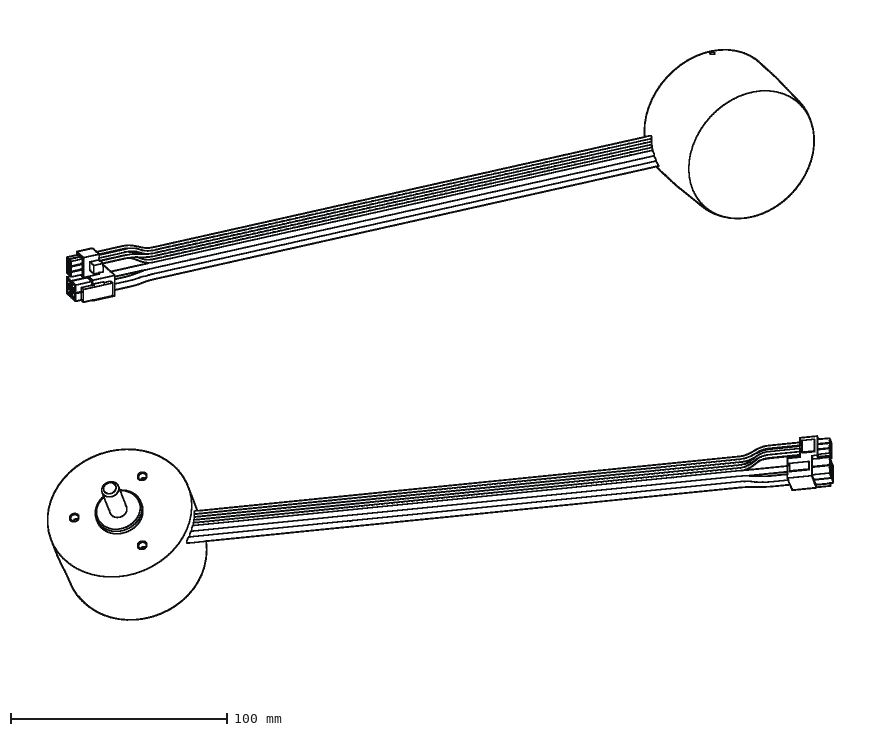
import cadquery as cq


BODY_DIAMETER = 68.0
BODY_RADIUS = BODY_DIAMETER / 2
BODY_LENGTH = 43.0
RING_ENDS = [4.5, 10.3, 16.0]
CUP_REAR_RADIUS = 33.0
REAR_CHAMFER_LENGTH = 2.5
REAR_CHAMFER_DEPTH = 0.7

BOSS_RADIUS = 11.0
BOSS_HEIGHT = 3.0
BOSS_CHAMFER = 0.7
SHAFT_RADIUS = 4.0
SHAFT_LENGTH = 23.0
SHAFT_CHAMFER = 1.0

MOUNT_HOLE_COUNT = 3
MOUNT_HOLE_CIRCLE_RADIUS = 21.5
MOUNT_HOLE_DIAMETER = 3.5
MOUNT_HOLE_CHAMFER = 0.5
MOUNT_HOLE_DEPTH = RING_ENDS[0]
SET_SCREW_DIAMETER = 2.2
SET_SCREW_DEPTH = 3.5
SET_SCREW_X = RING_ENDS[0] / 2

OVERALL_LENGTH = 368
PLUG_END_Y = BODY_RADIUS - OVERALL_LENGTH
PLUG_SPLIT_Z = -4.8

SENSOR_COLLAR_X = (3.0, 10.0)
SENSOR_COLLAR_Y = (-320.0, -328.3)
SENSOR_COLLAR_TOP_Z = 5.5
SENSOR_LATCH_X = 14.0
SENSOR_LATCH_Y = (-320.0, -325.0)
SENSOR_LATCH_WIDTH = 4.5
SENSOR_SILOS = (2, 3)
SENSOR_PAD_WIDTH = 6.3

PHASE_COLLAR_X = (3.0, 14.5)
PHASE_COLLAR_Y = (-314.3, -325.5)
PHASE_COLLAR_BOTTOM_Z = -15.5
PHASE_LEVER_X = (15.0, 17.3)
PHASE_LEVER_Y = (-317.0, -332.0)
PHASE_PIVOT_Y = (-320.0, -325.3)
PHASE_LEVER_WIDTH = 6.5
PHASE_SILOS = (2, 2)
PHASE_PAD_WIDTH = 4.0

NOSE_INSET = 1.0
SILO_GAP = 0.5
SOCKET_WALL = 0.7
SOCKET_DEPTH = 3.5
PAD_HEIGHT = 0.7
PAD_MARGIN_Y = 1.0

CABLE_X = 7.0
SENSOR_WIRE_RADIUS = 0.7
SENSOR_WIRE_PITCH = 1.55
SENSOR_TOP_WIRE_Z = 0.5
PHASE_WIRE_RADIUS = 1.4
PHASE_WIRE_PITCH = 3.0
PHASE_TOP_WIRE_Z = -8.0
WIRE_ENGAGEMENT = 1.0

SENSOR_PINS = [(4.8, 3.3), (8.0, 3.3), (8.0, 0.0), (4.8, 0.0), (4.8, -1.65)]
PHASE_PINS = [(CABLE_X, PHASE_TOP_WIRE_Z), (CABLE_X, -12.5), (11.5, -12.5)]
WIRE_BEND_Y = (-290.7, -305.5)


def make_motor():
    """Housing, boss and shaft as one turned solid, with its holes.

    The faces are left unmerged so that the joints between the stacked rings stay as edges.
    """
    cup_end = BODY_LENGTH - REAR_CHAMFER_LENGTH
    profile = [
        (-SHAFT_LENGTH, 0),
        (-SHAFT_LENGTH, SHAFT_RADIUS - SHAFT_CHAMFER),
        (-SHAFT_LENGTH + SHAFT_CHAMFER, SHAFT_RADIUS),
        (-BOSS_HEIGHT, SHAFT_RADIUS),
        (-BOSS_HEIGHT, BOSS_RADIUS - BOSS_CHAMFER),
        (-BOSS_HEIGHT + BOSS_CHAMFER, BOSS_RADIUS),
        (0, BOSS_RADIUS),
        (0, BODY_RADIUS),
        *[(ring_end, BODY_RADIUS) for ring_end in RING_ENDS],
        (cup_end, CUP_REAR_RADIUS),
        (BODY_LENGTH, CUP_REAR_RADIUS - REAR_CHAMFER_DEPTH),
        (BODY_LENGTH, 0),
    ]
    motor = (
        cq.Workplane("XY")
        .polyline([(x, -radius) for x, radius in profile])
        .close()
        .revolve(360, (0, 0, 0), (1, 0, 0), clean=False)
    )

    hole_radius = MOUNT_HOLE_DIAMETER / 2
    mouth_radius = hole_radius + MOUNT_HOLE_CHAMFER
    mount_hole_profile = [
        (0, 0),
        (0, mouth_radius),
        (MOUNT_HOLE_CHAMFER, hole_radius),
        (MOUNT_HOLE_DEPTH, hole_radius),
        (MOUNT_HOLE_DEPTH, 0),
    ]
    mount_hole = (
        cq.Workplane("XY")
        .polyline(mount_hole_profile)
        .close()
        .revolve(360, (0, 0, 0), (1, 0, 0))
        .translate((0, MOUNT_HOLE_CIRCLE_RADIUS, 0))
    )
    for index in range(MOUNT_HOLE_COUNT):
        angle = index * 360 / MOUNT_HOLE_COUNT
        motor = motor.cut(mount_hole.rotate((0, 0, 0), (1, 0, 0), angle), clean=False)

    set_screw_hole = (
        cq.Workplane("XY", origin=(SET_SCREW_X, 0, BODY_RADIUS - SET_SCREW_DEPTH))
        .circle(SET_SCREW_DIAMETER / 2)
        .extrude(2 * SET_SCREW_DEPTH)
    )
    return motor.cut(set_screw_hole, clean=False)


def block(x_range, y_range, z_range):
    """Axis-aligned block between the given limits, in either order."""
    limits = (x_range, y_range, z_range)
    sizes = [abs(end - start) for start, end in limits]
    centre = tuple((start + end) / 2 for start, end in limits)
    return cq.Workplane("XY").box(*sizes).translate(centre)


def centred(middle, width):
    return (middle - width / 2, middle + width / 2)


def split_evenly(limits, count, gap):
    """Equal intervals that fill the limits with the given gap between neighbours."""
    width = (limits[1] - limits[0] - (count - 1) * gap) / count
    starts = [limits[0] + index * (width + gap) for index in range(count)]
    return [(start, start + width) for start in starts]


def inset(limits, margin):
    return (limits[0] + margin, limits[1] - margin)


def make_plug(collar_x, collar_y, collar_z, silos, pad_width):
    """Collar with a raised pad and a grid of socketed silos up to the end of the harness."""
    pad_x = (collar_x[0] - PAD_HEIGHT, collar_x[0])
    pad_y = (collar_y[0] - PAD_MARGIN_Y, collar_y[1] + PAD_MARGIN_Y)
    pad_z = centred(sum(collar_z) / 2, pad_width)
    plug = block(collar_x, collar_y, collar_z).union(block(pad_x, pad_y, pad_z))

    silo_y = (collar_y[1], PLUG_END_Y)
    socket_y = (PLUG_END_Y, PLUG_END_Y + SOCKET_DEPTH)
    for silo_x in split_evenly(inset(collar_x, NOSE_INSET), silos[0], SILO_GAP):
        for silo_z in split_evenly(inset(collar_z, NOSE_INSET), silos[1], SILO_GAP):
            socket = block(inset(silo_x, SOCKET_WALL), socket_y, inset(silo_z, SOCKET_WALL))
            plug = plug.union(block(silo_x, silo_y, silo_z)).cut(socket)
    return plug


def make_sensor_plug():
    collar_z = (PLUG_SPLIT_Z, SENSOR_COLLAR_TOP_Z)
    latch_z = centred(sum(collar_z) / 2, SENSOR_LATCH_WIDTH)
    latch = block((SENSOR_COLLAR_X[1], SENSOR_LATCH_X), SENSOR_LATCH_Y, latch_z)
    plug = make_plug(SENSOR_COLLAR_X, SENSOR_COLLAR_Y, collar_z, SENSOR_SILOS, SENSOR_PAD_WIDTH)
    return plug.union(latch)


def make_phase_plug():
    collar_z = (PHASE_COLLAR_BOTTOM_Z, PLUG_SPLIT_Z)
    lever_z = centred(sum(collar_z) / 2, PHASE_LEVER_WIDTH)
    lever = block(PHASE_LEVER_X, PHASE_LEVER_Y, lever_z)
    pivot = block((PHASE_COLLAR_X[1], PHASE_LEVER_X[0]), PHASE_PIVOT_Y, lever_z)
    plug = make_plug(PHASE_COLLAR_X, PHASE_COLLAR_Y, collar_z, PHASE_SILOS, PHASE_PAD_WIDTH)
    return plug.union(pivot).union(lever)


def make_wire(radius, cable_z, pin, end_y):
    """Wire from inside the motor outline, straight, bent to its pin position, then straight."""
    pin_x, pin_z = pin
    start = cq.Vector(CABLE_X, 0, cable_z)
    bend_start = cq.Vector(CABLE_X, WIRE_BEND_Y[0], cable_z)
    bend_end = cq.Vector(pin_x, WIRE_BEND_Y[1], pin_z)
    end = cq.Vector(pin_x, end_y, pin_z)
    along = cq.Vector(0, -1, 0)
    path = [cq.Edge.makeLine(start, end)]
    if (pin_x, pin_z) != (CABLE_X, cable_z):
        path = [
            cq.Edge.makeLine(start, bend_start),
            cq.Edge.makeSpline([bend_start, bend_end], [along, along]),
            cq.Edge.makeLine(bend_end, end),
        ]
    section = cq.Workplane("XZ", origin=start.toTuple()).circle(radius)
    return section.sweep(cq.Wire.assembleEdges(path))


def make_harness():
    """Both plugs and all their wires as one solid that ends on the motor's outer surface."""
    harness = make_phase_plug().union(make_sensor_plug())
    wire_groups = [
        (SENSOR_PINS, SENSOR_WIRE_RADIUS, SENSOR_TOP_WIRE_Z, SENSOR_WIRE_PITCH, SENSOR_COLLAR_Y),
        (PHASE_PINS, PHASE_WIRE_RADIUS, PHASE_TOP_WIRE_Z, PHASE_WIRE_PITCH, PHASE_COLLAR_Y),
    ]
    for pins, radius, top_z, pitch, collar_y in wire_groups:
        for index, pin in enumerate(pins):
            end_y = collar_y[0] - WIRE_ENGAGEMENT
            wire = make_wire(radius, top_z - index * pitch, pin, end_y)
            harness = harness.union(wire)
    motor_outline = cq.Workplane("YZ").circle(BODY_RADIUS).extrude(BODY_LENGTH)
    return harness.cut(motor_outline)


motor = make_motor()
harness = make_harness()

result = cq.Compound.makeCompound([motor.val(), *harness.vals()])